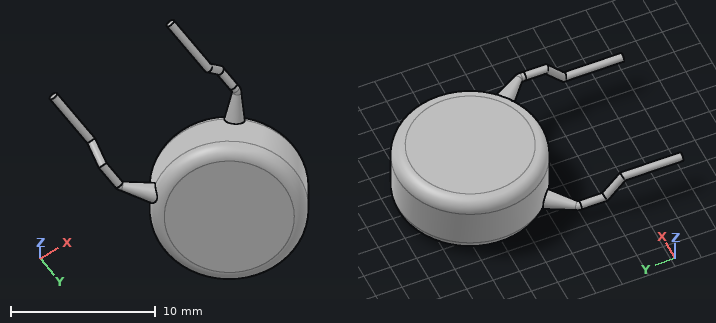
import cadquery as cq
import math

overall_length = 19.3

disc_diameter = 11.0
disc_height = 5.0
disc_edge_radius = 1.0

wire_diameter = 0.65
lead_pitch = 10.0
first_bend_y = -7.99
second_bend_y = -9.35

sleeve_angle = 40.0
sleeve_taper = 10.0
elbow_bend_radius = 0.35
upper_collar_length = 0.29

disc_radius = disc_diameter / 2
wire_radius = wire_diameter / 2
lead_x = lead_pitch / 2
lead_level = disc_height / 2 - disc_edge_radius
lead_tip_y = disc_radius - overall_length

elbow_axis_x = lead_x - elbow_bend_radius
sin_sleeve = math.sin(math.radians(sleeve_angle))
cos_sleeve = math.cos(math.radians(sleeve_angle))
cone_tip_distance = (elbow_axis_x + elbow_bend_radius * cos_sleeve) / sin_sleeve
elbow_axis_y = -cone_tip_distance * cos_sleeve - elbow_bend_radius * sin_sleeve

cone_root_distance = disc_radius - disc_edge_radius
cone_root_radius = wire_radius + (cone_tip_distance - cone_root_distance) * math.tan(
    math.radians(sleeve_taper)
)


def make_housing():
    """Flat disc with both rims rounded."""
    return (
        cq.Workplane("XY")
        .cylinder(disc_height, disc_radius)
        .edges("%CIRCLE")
        .fillet(disc_edge_radius)
    )


def wire_section(y):
    """Round wire section on the upper lead's line, facing -Y at the given Y."""
    return cq.Workplane("XZ", origin=(lead_x, y, lead_level)).circle(wire_radius)


def make_upper_sleeve(collar_length):
    """Radial cone and elbow, with an optional straight collar, ending against the housing."""
    cone = (
        cq.Workplane("XY")
        .moveTo(0, -cone_root_distance)
        .lineTo(cone_root_radius, -cone_root_distance)
        .lineTo(wire_radius, -cone_tip_distance)
        .lineTo(0, -cone_tip_distance)
        .close()
        .revolve(360, (0, 0), (0, 1))
        .rotate((0, 0, 0), (0, 0, 1), sleeve_angle)
        .translate((0, 0, lead_level))
    )
    elbow = wire_section(elbow_axis_y).revolve(
        sleeve_angle, (-elbow_bend_radius, 0), (-elbow_bend_radius, 1)
    )
    sleeve = cone.union(elbow)
    if collar_length > 0:
        sleeve = sleeve.union(wire_section(elbow_axis_y).extrude(collar_length))
    return sleeve.cut(make_housing())


def make_upper_lead(collar_length):
    """Wire with two mitred bends that bring it down to the mid-plane of the disc."""
    start_y = elbow_axis_y - collar_length
    path = cq.Workplane("YZ", origin=(lead_x, 0, 0)).polyline(
        [
            (start_y, lead_level),
            (first_bend_y, lead_level),
            (second_bend_y, 0),
            (lead_tip_y, 0),
        ]
    )
    return wire_section(start_y).sweep(path, transition="right")


housing = make_housing()

sleeves = []
leads = []
for turn, collar in ((0, upper_collar_length), (180, 0)):
    sleeves.append(make_upper_sleeve(collar).rotate((0, 0, 0), (0, 1, 0), turn))
    leads.append(make_upper_lead(collar).rotate((0, 0, 0), (0, 1, 0), turn))

result = cq.Compound.makeCompound([body.solids().val() for body in [housing, *sleeves, *leads]])